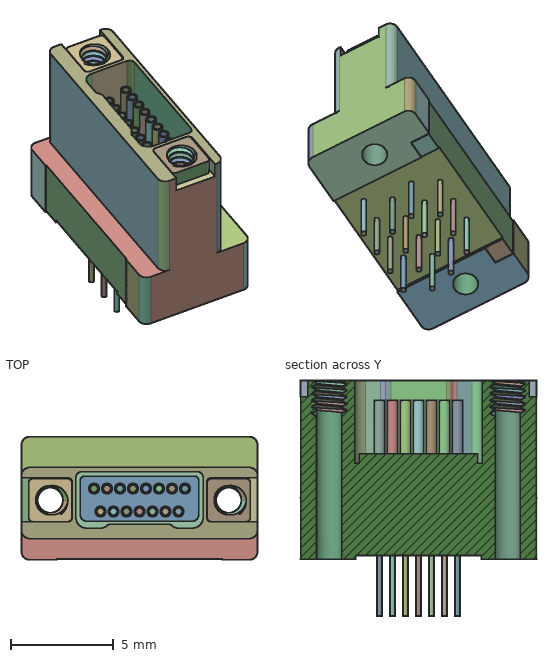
import cadquery as cq


BASE_LENGTH = 11.53
BASE_WIDTH = 6.02
BASE_HEIGHT = 3.0
CORNER_RADIUS = 0.42
FRONT_PANEL_HALF = 4.04
FRONT_PANEL_RELIEF = 0.05
UNDERSIDE_SLOT_HALF = 3.05
UNDERSIDE_SLOT_HEIGHT = 0.18

SHELL_WIDTH = 3.47
SHELL_HEIGHT = 5.73
SHELL_CENTER_Y = -0.23
TOP_Z = BASE_HEIGHT + SHELL_HEIGHT

CAVITY_HALF_LENGTH = 3.1
CAVITY_BACK_Y = 1.29
CAVITY_FRONT_Y = -1.45
CAVITY_BACK_RADIUS = 0.28
CAVITY_FRONT_RADIUS = 0.51
KEY_FRONT_Y = -1.26
KEY_HALF = 1.36
KEY_SLOPE_LENGTH = 0.51
CAVITY_DEPTH = 4.04
CAVITY_FLOOR_Z = TOP_Z - CAVITY_DEPTH

INSULATOR_HALF_LENGTH = 2.89
INSULATOR_BACK_Y = 1.08
INSULATOR_FRONT_Y = -1.13
INSULATOR_BACK_RADIUS = 0.23
INSULATOR_FRONT_RADIUS = 0.35
INSULATOR_HEIGHT = 0.46

CONTACT_PITCH = 0.63
CONTACT_DIAMETER = 0.51
CONTACT_BORE = 0.36
CONTACT_BORE_DEPTH = 0.92
CONTACT_RECESS = 0.97
CONTACT_TOP_Z = TOP_Z - CONTACT_RECESS
BACK_ROW_Y = 0.47
FRONT_ROW_Y = -0.65
BACK_ROW_COUNT = 8
FRONT_ROW_COUNT = 7

PIN_DIAMETER = 0.25
PIN_LENGTH = 2.77
PIN_ROW_PITCH = 1.26
PIN_ROWS_CENTER_Y = -0.09

BLOCK_INNER_X = 3.3
BLOCK_OUTER_X = 5.41
BLOCK_BACK_Y = 0.96
BLOCK_FRONT_Y = -1.14
BLOCK_RADIUS = 0.21
BLOCK_GAP = 0.01
BLOCK_BACK_GAP = 0.05
POCKET_DEPTH = 0.78
SCREW_X = (BLOCK_INNER_X + BLOCK_OUTER_X) / 2
SCREW_Y = (BLOCK_BACK_Y + BLOCK_FRONT_Y) / 2
SCREW_HOLE_RADIUS = 0.61
SCREW_CHAMFER = 0.1
THREAD_PITCH = 0.32
THREAD_DEPTH = 0.25
THREAD_TURNS = 6
THREAD_WIDTH = 0.29
THREAD_OVERLAP = 0.02


def box_between(x0, x1, y0, y1, z0, z1):
    """Box spanning the given limits."""
    return cq.Workplane("XY").box(x1 - x0, y1 - y0, z1 - z0, centered=False).translate((x0, y0, z0))


def row_positions(count, pitch):
    """X positions of a row centred on the middle of the part."""
    return [(i - (count - 1) / 2) * pitch for i in range(count)]


def cylinders(points, diameter, z0, z1):
    return cq.Workplane("XY").workplane(offset=z0).pushPoints(points).circle(diameter / 2).extrude(z1 - z0)


def make_base():
    base = cq.Workplane("XY").box(BASE_LENGTH, BASE_WIDTH, BASE_HEIGHT, centered=(True, True, False))
    base = base.edges("|Z").fillet(CORNER_RADIUS)
    front_y = -BASE_WIDTH / 2
    shell_front_y = SHELL_CENTER_Y - SHELL_WIDTH / 2
    face_relief = box_between(
        -FRONT_PANEL_HALF, FRONT_PANEL_HALF, front_y, front_y + FRONT_PANEL_RELIEF, 0, BASE_HEIGHT
    )
    bottom_relief = box_between(
        -FRONT_PANEL_HALF, FRONT_PANEL_HALF, front_y, shell_front_y, 0, FRONT_PANEL_RELIEF
    )
    underside_slot = box_between(
        -UNDERSIDE_SLOT_HALF, UNDERSIDE_SLOT_HALF, front_y, -front_y, 0, UNDERSIDE_SLOT_HEIGHT
    )
    return base.cut(face_relief).cut(bottom_relief).cut(underside_slot)


def make_shell():
    shell = cq.Workplane("XY").box(BASE_LENGTH, SHELL_WIDTH, SHELL_HEIGHT, centered=(True, True, False))
    return shell.edges("|Z").fillet(CORNER_RADIUS).translate((0, SHELL_CENTER_Y, BASE_HEIGHT))


def make_cavity():
    slope_end = KEY_HALF + KEY_SLOPE_LENGTH
    slope_mid = (KEY_HALF + slope_end) / 2
    mid_y = (KEY_FRONT_Y + CAVITY_FRONT_Y) / 2
    outline = (
        cq.Workplane("XY")
        .workplane(offset=CAVITY_FLOOR_Z)
        .moveTo(-CAVITY_HALF_LENGTH, CAVITY_BACK_Y)
        .lineTo(CAVITY_HALF_LENGTH, CAVITY_BACK_Y)
        .lineTo(CAVITY_HALF_LENGTH, CAVITY_FRONT_Y)
        .lineTo(slope_end, CAVITY_FRONT_Y)
        .tangentArcPoint((slope_mid, mid_y), relative=False)
        .tangentArcPoint((KEY_HALF, KEY_FRONT_Y), relative=False)
        .lineTo(-KEY_HALF, KEY_FRONT_Y)
        .tangentArcPoint((-slope_mid, mid_y), relative=False)
        .tangentArcPoint((-slope_end, CAVITY_FRONT_Y), relative=False)
        .lineTo(-CAVITY_HALF_LENGTH, CAVITY_FRONT_Y)
        .close()
    )
    cavity = outline.extrude(CAVITY_DEPTH)
    cavity = cavity.faces("<X or >X").edges("|Z and >Y").fillet(CAVITY_BACK_RADIUS)
    return cavity.faces("<X or >X").edges("|Z and <Y").fillet(CAVITY_FRONT_RADIUS)


def make_insulator():
    insulator = box_between(
        -INSULATOR_HALF_LENGTH, INSULATOR_HALF_LENGTH, INSULATOR_FRONT_Y, INSULATOR_BACK_Y,
        CAVITY_FLOOR_Z, CAVITY_FLOOR_Z + INSULATOR_HEIGHT,
    )
    insulator = insulator.edges("|Z and >Y").fillet(INSULATOR_BACK_RADIUS)
    return insulator.edges("|Z and <Y").fillet(INSULATOR_FRONT_RADIUS)


def make_contacts():
    points = [(x, BACK_ROW_Y) for x in row_positions(BACK_ROW_COUNT, CONTACT_PITCH)]
    points += [(x, FRONT_ROW_Y) for x in row_positions(FRONT_ROW_COUNT, CONTACT_PITCH)]
    barrels = cylinders(points, CONTACT_DIAMETER, CAVITY_FLOOR_Z, CONTACT_TOP_Z)
    bores = cylinders(points, CONTACT_BORE, CONTACT_TOP_Z - CONTACT_BORE_DEPTH, CONTACT_TOP_Z)
    return barrels.cut(bores)


def make_pins():
    back_x = row_positions(BACK_ROW_COUNT, CONTACT_PITCH)
    front_x = row_positions(FRONT_ROW_COUNT, CONTACT_PITCH)
    rows = [back_x[0::2], back_x[1::2], front_x[0::2], front_x[1::2]]
    points = []
    for i, row in enumerate(rows):
        y = PIN_ROWS_CENTER_Y + ((len(rows) - 1) / 2 - i) * PIN_ROW_PITCH
        points += [(x, y) for x in row]
    return cylinders(points, PIN_DIAMETER, -PIN_LENGTH, UNDERSIDE_SLOT_HEIGHT)


def make_end_pocket(side):
    """Pocket around a threaded block, open through the end of the shell."""
    pocket = box_between(
        BLOCK_INNER_X - BLOCK_GAP, BASE_LENGTH / 2, BLOCK_FRONT_Y - BLOCK_GAP, BLOCK_BACK_Y + BLOCK_BACK_GAP,
        TOP_Z - POCKET_DEPTH, TOP_Z,
    )
    pocket = pocket.edges("|Z and <X").fillet(BLOCK_RADIUS + BLOCK_GAP)
    return pocket if side > 0 else pocket.mirror("YZ")


def make_block(side):
    block = box_between(
        BLOCK_INNER_X, BLOCK_OUTER_X, BLOCK_FRONT_Y, BLOCK_BACK_Y, TOP_Z - POCKET_DEPTH, TOP_Z
    )
    block = block.edges("|Z").fillet(BLOCK_RADIUS)
    return block if side > 0 else block.mirror("YZ")


def make_screw_hole():
    """Through hole with a chamfered mouth."""
    mouth_radius = SCREW_HOLE_RADIUS + SCREW_CHAMFER
    return (
        cq.Workplane("XZ")
        .lineTo(SCREW_HOLE_RADIUS, 0)
        .lineTo(SCREW_HOLE_RADIUS, TOP_Z - SCREW_CHAMFER)
        .lineTo(mouth_radius, TOP_Z)
        .lineTo(0, TOP_Z)
        .close()
        .revolve(360, (0, 0, 0), (0, 1, 0))
    )


def make_thread_turn():
    """One turn of a V-shaped helical groove, starting on the +X side at height zero."""
    helix = cq.Wire.makeHelix(THREAD_PITCH, THREAD_PITCH, SCREW_HOLE_RADIUS)
    inner_radius = SCREW_HOLE_RADIUS - THREAD_OVERLAP
    half_width = THREAD_WIDTH / 2
    return (
        cq.Workplane("XZ")
        .moveTo(inner_radius, -half_width)
        .lineTo(SCREW_HOLE_RADIUS + THREAD_DEPTH, 0)
        .lineTo(inner_radius, half_width)
        .close()
        .sweep(cq.Workplane(helix), isFrenet=True)
    )


def cut_threaded_hole(body, side):
    """Cut the screw hole, then its thread turn by turn downwards, running out through the top."""
    body = body.cut(make_screw_hole().translate((side * SCREW_X, SCREW_Y, 0)))
    thread_turn = make_thread_turn()
    for i in range(THREAD_TURNS):
        start_z = TOP_Z - i * THREAD_PITCH
        body = body.cut(thread_turn.translate((side * SCREW_X, SCREW_Y, start_z)))
    return body


body = make_base().union(make_shell()).cut(make_cavity())
body = body.union(make_insulator()).union(make_contacts()).union(make_pins())
for side in (-1, 1):
    body = body.cut(make_end_pocket(side)).union(make_block(side))
    body = cut_threaded_hole(body, side)
result = body